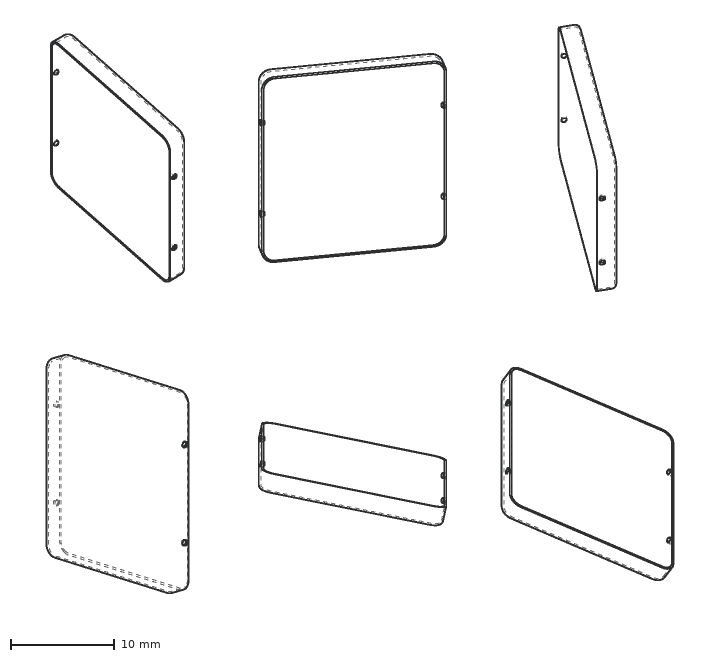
import cadquery as cq
import math

width = 18.3
depth = 2.0
height = 20.3
wall = 0.2
corner_radius = 1.28
rim_radius = 0.5

hollow_radius = 0.3
hollow_depth = 0.28
bump_radius = 0.28
bump_height = 0.2
dimple_spacing = 9.99
dimple_from_opening = 0.5


def rounded_block(inset):
    """Rounded plate, inset from the outer faces, with a rounded +Y edge."""
    return (
        cq.Workplane("XZ")
        .rect(width - 2 * inset, height - 2 * inset)
        .extrude(-(depth - inset))
        .edges("|Y")
        .fillet(corner_radius - inset)
        .faces(">Y")
        .edges()
        .fillet(rim_radius - inset)
    )


def dome(base_radius, rise, stem):
    """Dome rising along +X from the YZ plane, on a round stem reaching back to -X."""
    dome_radius = (base_radius**2 + rise**2) / (2 * rise)
    half_angle = math.atan2(base_radius, dome_radius - rise) / 2
    middle = (
        rise - dome_radius * (1 - math.cos(half_angle)),
        dome_radius * math.sin(half_angle),
    )
    return (
        cq.Workplane("XY")
        .moveTo(-stem, 0)
        .lineTo(-stem, base_radius)
        .lineTo(0, base_radius)
        .threePointArc(middle, (rise, 0))
        .close()
        .revolve(360, (0, 0), (1, 0))
    )


def on_left_wall(dimple_part, inset):
    """Copies of a dimple part at both heights, inset from the -X face."""
    return [
        dimple_part.translate((inset - width / 2, dimple_from_opening, center_z))
        for center_z in (-dimple_spacing / 2, dimple_spacing / 2)
    ]


bump = dome(bump_radius, bump_height, wall / 2)
hollow = dome(hollow_radius, hollow_depth, wall)

result = rounded_block(0).cut(rounded_block(wall))
for left_bump in on_left_wall(bump, wall):
    result = result.union(left_bump).union(left_bump.mirror("YZ"))
for left_hollow in on_left_wall(hollow, 0):
    result = result.cut(left_hollow).cut(left_hollow.mirror("YZ"))